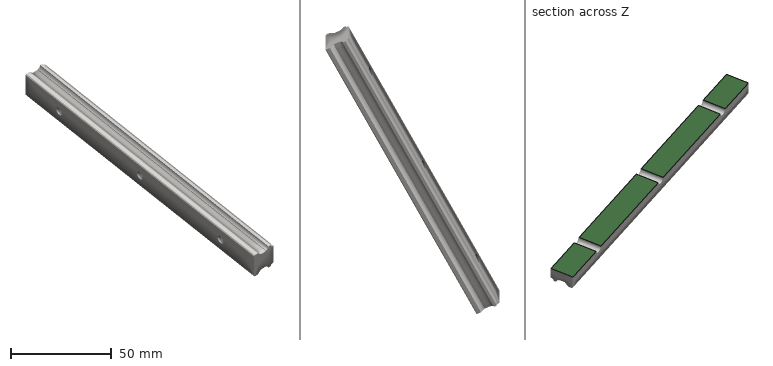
import cadquery as cq

length = 170.0
depth = 13.0
height = 15.0
half_height = height / 2

edge_chamfer = 0.5

groove_depth = 2.0
front_slope_start = 2.5
front_slope_end = front_slope_start + groove_depth
floor_end = 8.0
floor_step = 0.3

lip_front = 9.7
lip_back = 11.2
lip_front_drop = 0.5

groove_arc_y = 9.0
groove_arc_drop = 1.4

ledge_drop = 1.5
cove_top_drop = 0.7
cove_mid_y = 11.9
cove_mid_drop = 1.2

hole_diameter = 4.5
hole_spacing = 60.0
hole_count = 3


def below_top(drop):
    """Z of a point the given distance below the top of the rail."""
    return half_height - drop


def make_upper_half():
    """Upper half of the rail: the cross-section in (Y, Z) extruded along X."""
    profile = (
        cq.Workplane("YZ")
        .moveTo(0, 0)
        .lineTo(0, below_top(edge_chamfer))
        .lineTo(edge_chamfer, half_height)
        .lineTo(front_slope_start, half_height)
        .lineTo(front_slope_end, below_top(groove_depth))
        .lineTo(floor_end, below_top(groove_depth))
        .lineTo(floor_end, below_top(groove_depth - floor_step))
        .threePointArc((groove_arc_y, below_top(groove_arc_drop)), (lip_front, below_top(lip_front_drop)))
        .lineTo(lip_front, half_height)
        .lineTo(lip_back, half_height)
        .lineTo(lip_back, below_top(cove_top_drop))
        .threePointArc((cove_mid_y, below_top(cove_mid_drop)), (depth, below_top(ledge_drop)))
        .lineTo(depth, 0)
        .close()
    )
    return profile.extrude(length / 2, both=True)


def make_rail():
    """Whole rail, symmetric about Z = 0."""
    upper_half = make_upper_half()
    return upper_half.union(upper_half.mirror("XY")).clean()


def make_holes():
    """Row of equally spaced through holes, centred on the rail."""
    row = cq.Workplane("XZ").rarray(hole_spacing, 1.7, hole_count, 1)
    return row.circle(hole_diameter / 2).extrude(-depth)


result = make_rail().cut(make_holes())